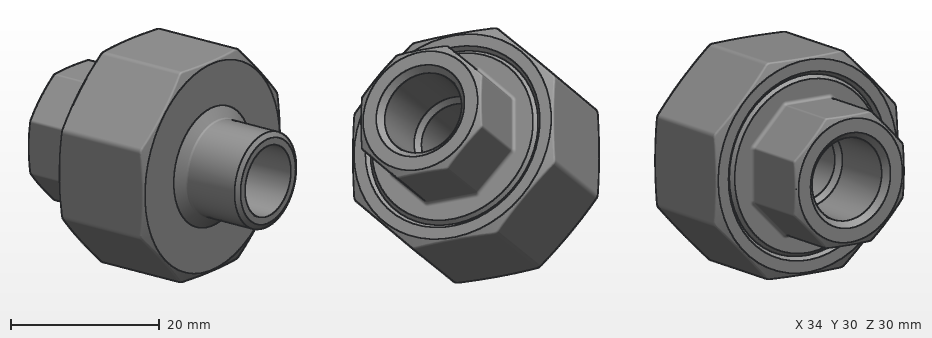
import cadquery as cq
import math


total_length = 34.0
nut_front = 10.0
nut_length = 14.52
nut_back = nut_front + nut_length
joint = nut_front + nut_length / 2
nut_lip = 2.0
lip_start = nut_back - nut_lip

sides = 8
half_side_angle = 180.0 / sides
nut_across_flats = 30.0
nut_corner_radius = 1.0
nut_face_diameter = 29.38
hex_end_across_flats = 18.0
hex_end_corner_radius = 0.5
hex_end_face_diameter = 17.07
end_bevel_angle = 20.0
bevel_edge_radius = 0.3

joint_diameter = 25.0
joint_chamfer = 0.5
flange_fillet = 0.5

through_diameter = 10.0
thread_diameter = 11.45
entry_diameter = 13.15
bore_cone_angle = 45.0
thread_end = nut_front

tail_diameter = 13.5
neck_diameter = 16.83
tail_tip_diameter = 12.0
tail_cone_angle = 60.0
neck_fillet = 0.3


def cone_length(large_diameter, small_diameter, angle_from_axis):
    return (large_diameter - small_diameter) / 2 / math.tan(math.radians(angle_from_axis))


def revolve_profile(points):
    """Solid of revolution about X from (x, radius) points."""
    return cq.Workplane("XY").polyline(points).close().revolve(360, (0, 0, 0), (1, 0, 0))


def cylinder(x_start, x_end, diameter):
    return cq.Workplane("YZ", origin=(x_start, 0, 0)).circle(diameter / 2).extrude(x_end - x_start)


def cone(x_start, x_end, start_diameter, end_diameter):
    return revolve_profile([
        (x_start, 0),
        (x_start, start_diameter / 2),
        (x_end, end_diameter / 2),
        (x_end, 0),
    ])


def octagon_prism(x_start, x_end, across_flats, corner_radius, face_diameter):
    """Octagonal bar along X with rounded corners and a conical bevel at x_start."""
    corner_diameter = across_flats / math.cos(math.radians(half_side_angle))
    length = x_end - x_start
    envelope_growth = 2 * length / math.tan(math.radians(end_bevel_angle))
    return (
        cq.Workplane("YZ", origin=(x_start, 0, 0))
        .transformed(rotate=(0, 0, half_side_angle))
        .polygon(sides, corner_diameter)
        .extrude(length)
        .edges("|X")
        .fillet(corner_radius)
        .intersect(cone(x_start, x_end, face_diameter, face_diameter + envelope_growth))
    )


def round_bevel_edges(bevelled):
    """Round the edges between the conical bevels and the octagon sides, but not the end circles."""
    side_edges = [
        edge
        for bevel in bevelled.faces("%CONE").vals()
        for edge in bevel.Edges()
        if edge.geomType() != "CIRCLE"
    ]
    return bevelled.newObject(side_edges).fillet(bevel_edge_radius)


def make_fitting():
    octagon = octagon_prism(
        0, nut_front, hex_end_across_flats, hex_end_corner_radius, hex_end_face_diameter
    )
    flange = cylinder(nut_front, joint, joint_diameter).faces("<X").chamfer(joint_chamfer)
    body = round_bevel_edges(octagon).union(flange)

    flange_face = body.faces("|X").faces("<X[1]").val()
    root_edges = flange_face.innerWires()[0].Edges()
    body = body.newObject(root_edges).fillet(flange_fillet)

    entry_depth = cone_length(entry_diameter, thread_diameter, bore_cone_angle)
    bottom_depth = cone_length(thread_diameter, through_diameter, bore_cone_angle)
    bore = revolve_profile([
        (0, 0),
        (0, entry_diameter / 2),
        (entry_depth, thread_diameter / 2),
        (thread_end, thread_diameter / 2),
        (thread_end + bottom_depth, through_diameter / 2),
        (joint, through_diameter / 2),
        (joint, 0),
    ])
    return body.cut(bore)


def make_nut():
    front_bevelled = octagon_prism(
        nut_front, nut_back, nut_across_flats, nut_corner_radius, nut_face_diameter
    )
    back_bevelled = front_bevelled.mirror("YZ", (joint, 0, 0))
    octagon = round_bevel_edges(front_bevelled.intersect(back_bevelled))

    bore = cylinder(nut_front, lip_start, joint_diameter)
    entry = cone(
        nut_front, nut_front + joint_chamfer, joint_diameter + 2 * joint_chamfer, joint_diameter
    )
    lip_bore = cylinder(lip_start, nut_back, neck_diameter)
    return octagon.cut(bore).cut(entry).cut(lip_bore)


def make_tail():
    cone_end = nut_back + cone_length(neck_diameter, tail_diameter, tail_cone_angle)
    weld_bevel = cone_length(tail_diameter, tail_tip_diameter, tail_cone_angle)
    body = revolve_profile([
        (joint, 0),
        (joint, joint_diameter / 2),
        (lip_start, joint_diameter / 2),
        (lip_start, neck_diameter / 2),
        (nut_back, neck_diameter / 2),
        (cone_end, tail_diameter / 2),
        (total_length - weld_bevel, tail_diameter / 2),
        (total_length, tail_tip_diameter / 2),
        (total_length, 0),
    ])
    neck_corner = cq.selectors.NearestToPointSelector((cone_end, 0, 0))
    body = body.edges(neck_corner).fillet(neck_fillet)
    return body.cut(cylinder(joint, total_length, through_diameter))


fitting = make_fitting()
nut = make_nut()
tail = make_tail()
result = cq.Compound.makeCompound([fitting.val(), nut.val(), tail.val()])